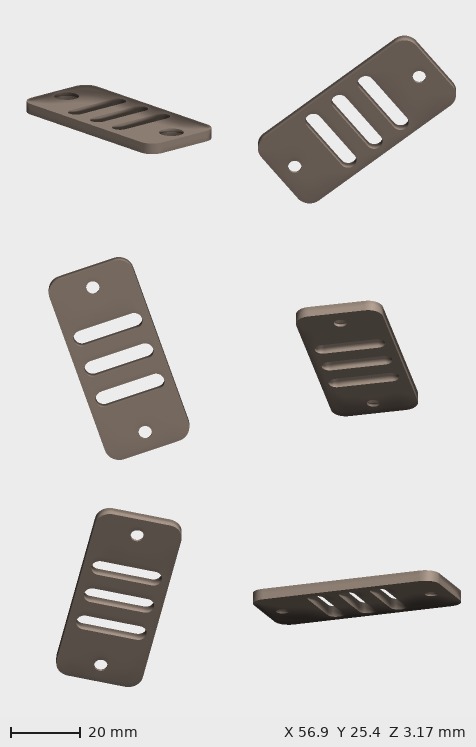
import cadquery as cq

plate_length = 56.896
plate_width = 25.4
plate_thickness = 3.175
corner_radius = 4.318

slot_count = 3
slot_pitch = 9.6
slot_width = 4.76
slot_length = 20.64

screw_spacing = 45.72
screw_hole_diameter = 3.8
screw_head_diameter = 7.112
head_recess_depth = 1.016
countersink_depth = 1.4


def make_plate():
    """Flat plate with rounded corners, resting on Z = 0."""
    blank = cq.Workplane("XY").box(plate_length, plate_width, plate_thickness, centered=(True, True, False))
    return blank.edges("|Z").fillet(corner_radius)


def make_slots():
    """Round-ended through slots, evenly spaced along X."""
    return (
        cq.Workplane("XY")
        .rarray(slot_pitch, 1, slot_count, 1)
        .slot2D(slot_length, slot_width, angle=90)
        .extrude(plate_thickness)
    )


def make_screw_hole(x):
    """Through hole opening into a cone, with a straight head recess above the cone."""
    hole_radius = screw_hole_diameter / 2
    head_radius = screw_head_diameter / 2
    cone_top = plate_thickness - head_recess_depth
    cone_bottom = cone_top - countersink_depth
    profile = (
        cq.Workplane("XZ")
        .lineTo(hole_radius, 0)
        .lineTo(hole_radius, cone_bottom)
        .lineTo(head_radius, cone_top)
        .lineTo(head_radius, plate_thickness)
        .lineTo(0, plate_thickness)
        .close()
    )
    return profile.revolve(360, (0, 0), (0, 1)).translate((x, 0, 0))


result = make_plate().cut(make_slots())
for side in (-1, 1):
    result = result.cut(make_screw_hole(side * screw_spacing / 2))